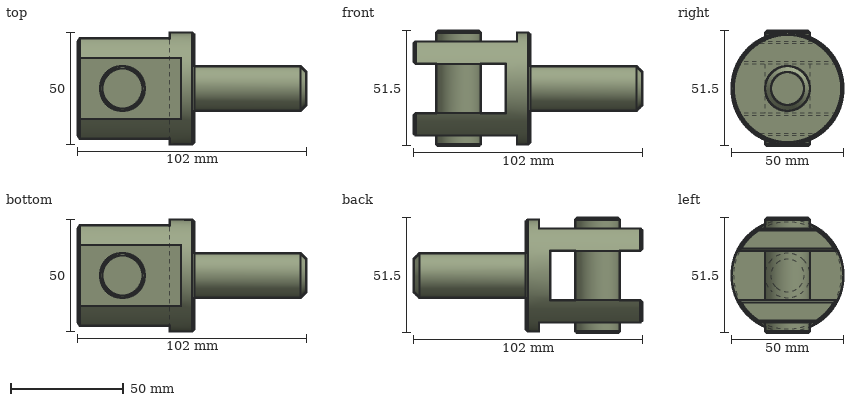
import cadquery as cq

body_diameter = 50.0
body_length = 52.0
flange_thickness = 6.0
flats_height = 42.0
edge_chamfer = 1.0

slot_depth = 41.0
slot_height = 22.0

overall_length = 102.0
shank_diameter = 20.0
shank_chamfer = 2.7

pin_diameter = 20.0
pin_length = 51.5
pin_position = 20.0

flats_length = body_length - flange_thickness


def x_cylinder(diameter, start, length):
    """Cylinder along X beginning at the given X position."""
    return cq.Workplane("YZ", origin=(start, 0, 0)).circle(diameter / 2).extrude(length)


def make_body():
    """Round body with two flats, a fork slot and chamfered ends."""
    body = x_cylinder(body_diameter, 0, body_length).faces(">X").chamfer(edge_chamfer)
    fork_envelope = cq.Workplane("XY").box(
        flats_length, body_diameter, flats_height, centered=(False, True, True)
    )
    flange_envelope = cq.Workplane("XY", origin=(flats_length, 0, 0)).box(
        flange_thickness, body_diameter, body_diameter, centered=(False, True, True)
    )
    body = body.intersect(fork_envelope.union(flange_envelope))
    slot = cq.Workplane("XY").box(
        slot_depth, body_diameter, slot_height, centered=(False, True, True)
    )
    return body.cut(slot).faces("<X").chamfer(edge_chamfer)


def make_shank():
    """Shank behind the flange with a chamfered tip."""
    shank_length = overall_length - body_length
    return x_cylinder(shank_diameter, body_length, shank_length).faces(">X").chamfer(shank_chamfer)


def make_pin():
    """Cross pin through both fork arms, chamfered at both ends."""
    pin = cq.Workplane("XY", origin=(pin_position, 0, -pin_length / 2)).circle(pin_diameter / 2)
    return pin.extrude(pin_length).faces("|Z").chamfer(edge_chamfer)


result = make_body().union(make_shank()).union(make_pin())